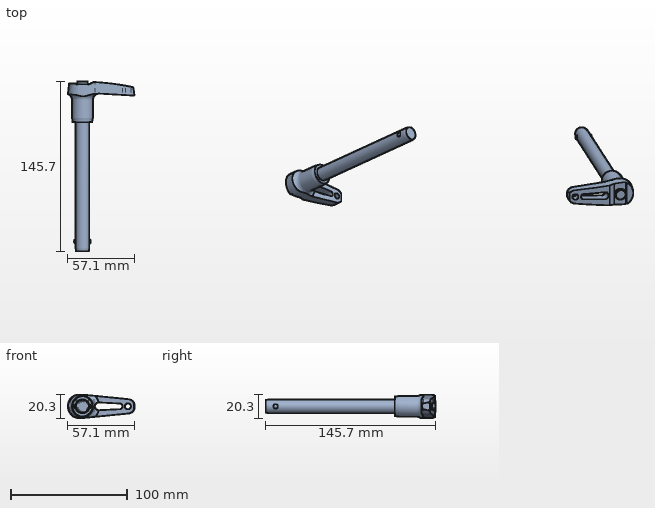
import cadquery as cq
import math


TOTAL_LENGTH = 145.7
BUTTON_TOP = 35
PIN_END = BUTTON_TOP - TOTAL_LENGTH
PIN_RADIUS = 6.0
TIP_RADIUS = 5.5
TIP_TAPER_LENGTH = 2.6

BALL_RADIUS = 2.0
BALL_REACH = 7.3
BALL_FROM_END = 8.6
BALL_Y = PIN_END + BALL_FROM_END

COLLAR_RADIUS = 9.0
COLLAR_RIM_RADIUS = 8.6
RIM_HEIGHT = 1.5
RIM_TAPER_TOP = 3.6
FLARE_START = 19.0
FLARE_RADIUS = 5.2
FLARE_OVERLAP = 1.5
HANDLE_BOTTOM = FLARE_START + FLARE_RADIUS

BUTTON_RADIUS = 4.7
BUTTON_CHAMFER = 0.5

HEAD_WIDTH = 20.3
HEAD_HALF_WIDTH = HEAD_WIDTH / 2
HEAD_LEFT = -12.5
HEAD_FLAT_START = -4.0
BEND_START = -0.9
BEND_TANGENT = 1.1
LEVER_END_RADIUS = 6.3
LEVER_END_CENTER = 38.6
LEVER_HOLE_CENTER = 38.9
LEVER_HOLE_RADIUS = 2.5

HEAD_TOP = 33.2
HEAD_TOP_LEFT = -11.5
SEAT_TOP = 32.3
SEAT_HALF_WIDTH = 5.0
SEAT_RISE_RUN = 0.7
HUMP_START = (6.3, 32.8)
HUMP_TOP = (9.5, 34.4)
LEVER_TOP_MIDDLE = (24.8, 33.1)
LEVER_TOP_END = (43.5, 29.9)
LEVER_TIP = (44.6, 23.3)
LEVER_BOTTOM_END = (43.7, 22.6)
LEVER_BOTTOM_STEP = 0.36
LEVER_BOTTOM_START = (COLLAR_RADIUS, HANDLE_BOTTOM + LEVER_BOTTOM_STEP)

SLOT_INNER_CENTER = 13.8
SLOT_INNER_RADIUS = 3.2
SLOT_OUTER_CENTER = 31.9
SLOT_OUTER_RADIUS = 2.3


def revolve_about_pin(sketch):
    """Close an X-Y half profile and turn it about the pin axis."""
    return sketch.close().revolve(360, (0, 0, 0), (0, 1, 0))


def tapered_slot(x1, r1, x2, r2):
    """Two circles joined by their outer tangents, running along Y the full pin length."""
    slope = math.asin((r1 - r2) / (x2 - x1))
    sine, cosine = math.sin(slope), math.cos(slope)
    return (
        cq.Workplane("XZ", origin=(0, TOTAL_LENGTH / 2, 0))
        .moveTo(x1 + r1 * sine, r1 * cosine)
        .lineTo(x2 + r2 * sine, r2 * cosine)
        .threePointArc((x2 + r2, 0), (x2 + r2 * sine, -r2 * cosine))
        .lineTo(x1 + r1 * sine, -r1 * cosine)
        .threePointArc((x1 - r1, 0), (x1 + r1 * sine, r1 * cosine))
        .close()
        .extrude(TOTAL_LENGTH)
    )


def make_pin():
    pin = revolve_about_pin(
        cq.Workplane("XY")
        .moveTo(0, PIN_END)
        .lineTo(TIP_RADIUS, PIN_END)
        .lineTo(PIN_RADIUS, PIN_END + TIP_TAPER_LENGTH)
        .lineTo(PIN_RADIUS, RIM_HEIGHT)
        .lineTo(0, RIM_HEIGHT)
    )
    for side in (-1, 1):
        ball_x = side * (BALL_REACH - BALL_RADIUS)
        pin = pin.union(cq.Workplane("XY").sphere(BALL_RADIUS).translate((ball_x, BALL_Y, 0)))
    return pin


def make_collar():
    return revolve_about_pin(
        cq.Workplane("XY")
        .lineTo(COLLAR_RIM_RADIUS, 0)
        .lineTo(COLLAR_RIM_RADIUS, RIM_HEIGHT)
        .lineTo(COLLAR_RADIUS, RIM_TAPER_TOP)
        .lineTo(COLLAR_RADIUS, SEAT_TOP)
        .lineTo(0, SEAT_TOP)
    )


def make_flare():
    arc_offset = FLARE_RADIUS * math.sqrt(0.5)
    outer_radius = COLLAR_RADIUS + FLARE_RADIUS
    return revolve_about_pin(
        cq.Workplane("XY")
        .moveTo(0, FLARE_START)
        .lineTo(COLLAR_RADIUS, FLARE_START)
        .threePointArc(
            (outer_radius - arc_offset, FLARE_START + arc_offset),
            (outer_radius, HANDLE_BOTTOM),
        )
        .lineTo(outer_radius, HANDLE_BOTTOM + FLARE_OVERLAP)
        .lineTo(0, HANDLE_BOTTOM + FLARE_OVERLAP)
    )


def make_outline():
    """Handle outline in X-Z: round head, short flat, bend, then tangent lines to the lever end."""
    bend_corner = BEND_START + BEND_TANGENT
    run = LEVER_END_CENTER - bend_corner
    corner_distance = math.hypot(run, HEAD_HALF_WIDTH)
    slope = math.atan2(HEAD_HALF_WIDTH, run) - math.asin(LEVER_END_RADIUS / corner_distance)
    sine, cosine = math.sin(slope), math.cos(slope)
    bend_end = (bend_corner + BEND_TANGENT * cosine, HEAD_HALF_WIDTH - BEND_TANGENT * sine)
    lever_tangent = (LEVER_END_CENTER + LEVER_END_RADIUS * sine, LEVER_END_RADIUS * cosine)
    outline = (
        cq.Workplane("XZ", origin=(0, BUTTON_TOP, 0))
        .moveTo(HEAD_FLAT_START, -HEAD_HALF_WIDTH)
        .threePointArc((HEAD_LEFT, 0), (HEAD_FLAT_START, HEAD_HALF_WIDTH))
        .lineTo(BEND_START, HEAD_HALF_WIDTH)
        .tangentArcPoint(bend_end, relative=False)
        .lineTo(*lever_tangent)
        .threePointArc(
            (LEVER_END_CENTER + LEVER_END_RADIUS, 0),
            (lever_tangent[0], -lever_tangent[1]),
        )
        .lineTo(bend_end[0], -bend_end[1])
        .tangentArcPoint((BEND_START, -HEAD_HALF_WIDTH), relative=False)
        .close()
    )
    return outline.extrude(BUTTON_TOP)


def make_handle():
    side_profile = (
        cq.Workplane("XY")
        .moveTo(HEAD_LEFT, HANDLE_BOTTOM)
        .lineTo(HEAD_LEFT, HEAD_TOP)
        .lineTo(-SEAT_HALF_WIDTH - SEAT_RISE_RUN, HEAD_TOP)
        .lineTo(-SEAT_HALF_WIDTH, SEAT_TOP)
        .lineTo(SEAT_HALF_WIDTH, SEAT_TOP)
        .lineTo(*HUMP_START)
        .lineTo(*HUMP_TOP)
        .threePointArc(LEVER_TOP_MIDDLE, LEVER_TOP_END)
        .lineTo(*LEVER_TIP)
        .lineTo(*LEVER_BOTTOM_END)
        .lineTo(*LEVER_BOTTOM_START)
        .lineTo(COLLAR_RADIUS, HANDLE_BOTTOM)
        .close()
        .extrude(HEAD_HALF_WIDTH, both=True)
    )
    handle = side_profile.union(make_flare()).intersect(make_outline())
    return handle.cut(make_head_draft())


def make_head_draft():
    """Material outside a cone about the pin axis, on the head side only."""
    clearance = HEAD_WIDTH
    head_side = (
        cq.Workplane("XY")
        .box(clearance, TOTAL_LENGTH, 2 * clearance)
        .translate((-clearance / 2, 0, 0))
    )
    outside_cone = revolve_about_pin(
        cq.Workplane("XY")
        .moveTo(HEAD_LEFT, HANDLE_BOTTOM)
        .lineTo(HEAD_TOP_LEFT, HEAD_TOP)
        .lineTo(-clearance, HEAD_TOP)
        .lineTo(-clearance, HANDLE_BOTTOM)
    )
    return outside_cone.intersect(head_side)


def make_button():
    return (
        cq.Workplane("XZ", origin=(0, BUTTON_TOP, 0))
        .circle(BUTTON_RADIUS)
        .extrude(BUTTON_TOP - HANDLE_BOTTOM)
        .faces(">Y")
        .chamfer(BUTTON_CHAMFER)
    )


def make_lever_hole():
    return (
        cq.Workplane("XZ", origin=(LEVER_HOLE_CENTER, BUTTON_TOP, 0))
        .circle(LEVER_HOLE_RADIUS)
        .extrude(BUTTON_TOP)
    )


slot = tapered_slot(SLOT_INNER_CENTER, SLOT_INNER_RADIUS, SLOT_OUTER_CENTER, SLOT_OUTER_RADIUS)
handle = make_handle().cut(slot).cut(make_lever_hole())
result = make_pin().union(make_collar()).union(handle).union(make_button())